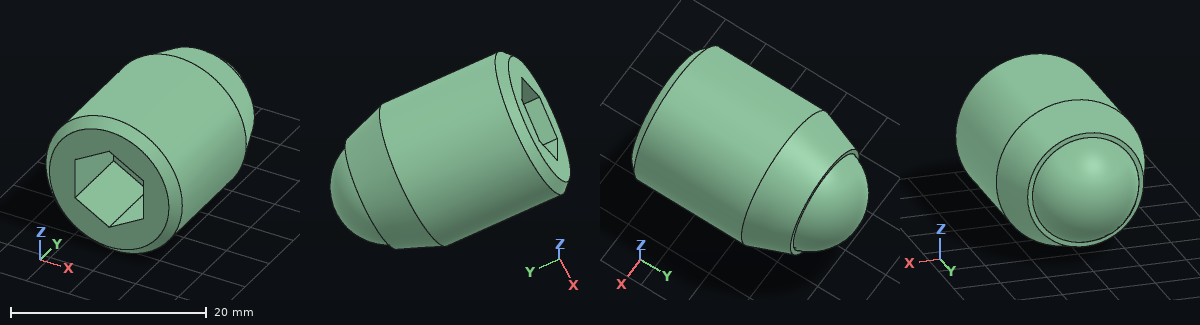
import cadquery as cq
import math

total_length = 23.3
body_diameter = 16.0
rear_chamfer = 1.0
nose_start = 14.25
nose_end = 19.1
nose_end_diameter = 12.5
ball_diameter = 12.0
hex_across_flats = 8.0
hex_depth = 8.0

body_radius = body_diameter / 2
ball_radius = ball_diameter / 2
ball_center_y = total_length - ball_radius
hex_across_corners = hex_across_flats / math.cos(math.radians(30))


def make_ball():
    """Full ball whose tip sets the far end of the assembly."""
    return cq.Workplane("XY").sphere(ball_radius).translate((0, ball_center_y, 0))


def make_turned_blank():
    """Cylinder with a chamfered rear edge and a conical nose."""
    return (
        cq.Workplane("XY")
        .moveTo(0, 0)
        .lineTo(body_radius - rear_chamfer, 0)
        .lineTo(body_radius, rear_chamfer)
        .lineTo(body_radius, nose_start)
        .lineTo(nose_end_diameter / 2, nose_end)
        .lineTo(0, nose_end)
        .close()
        .revolve(360, (0, 0, 0), (0, 1, 0))
    )


def make_hex_socket():
    """Hexagonal prism with two corners pointing up and down along Z."""
    return (
        cq.Workplane("XZ")
        .transformed(rotate=(0, 0, 90))
        .polygon(6, hex_across_corners)
        .extrude(-hex_depth)
    )


def make_screw_body(ball):
    """Turned blank with the hex socket and a seat matching the ball."""
    return make_turned_blank().cut(make_hex_socket()).cut(ball)


ball = make_ball()
screw_body = make_screw_body(ball)

result = cq.Compound.makeCompound([screw_body.solids().val(), ball.val()])